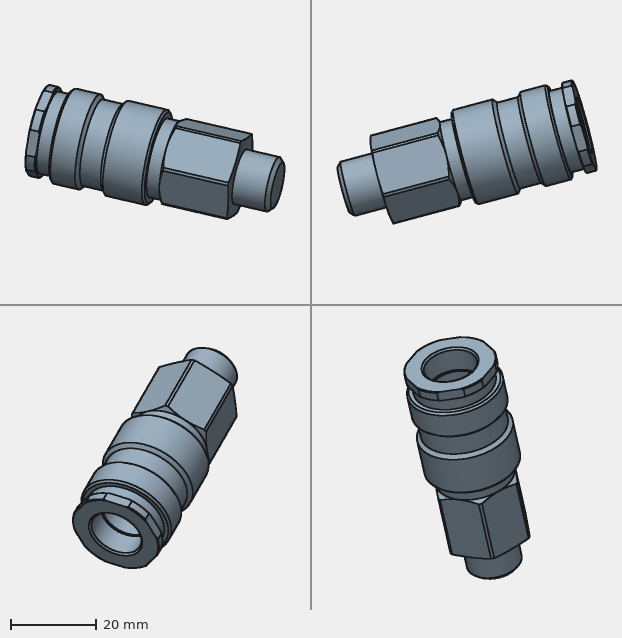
import cadquery as cq
import math

collar_end = 2.5
sleeve_start = 5.85
groove_start = 12.4
groove_end = 19.25
sleeve_end = 29.3
hex_start = 32.45
hex_end = 49.4
total_length = 58.5

front_neck_diameter = 19.8
sleeve_diameter = 22.95
groove_diameter = 20.9
rear_neck_diameter = 19.0
spigot_diameter = 13.15

sleeve_chamfer = 0.5
groove_wall_run = 0.9
spigot_chamfer = 1.05

collar_diameter = 21.95
collar_across_flats = 21.0
collar_chamfer = 0.205

hex_across_flats = 19.0
hex_corner_diameter = 21.5
hex_tilt = 24.0
hex_front_angle = 30.0
hex_rear_run = 0.25

bore_mouth_diameter = 13.65
bore_diameter = 12.7
shoulder_diameter = 12.35
inner_bore_diameter = 12.0
bore_step_depth = 6.2
bore_depth = 17.55
bore_mouth_chamfer = (bore_mouth_diameter - bore_diameter) / 2
bore_step_run = (bore_diameter - shoulder_diameter) / 2


def revolve_profile(stations):
    """Solid of revolution about X through (position, diameter) pairs."""
    outline = [(x, diameter / 2) for x, diameter in stations]
    first_x = stations[0][0]
    last_x = stations[-1][0]
    profile = cq.Workplane("XY").polyline([(first_x, 0), *outline, (last_x, 0)]).close()
    return profile.revolve(360, (0, 0, 0), (1, 0, 0))


def hexagonal_bar(across_flats, start, end, tilt):
    """Hexagonal bar along X; zero tilt leaves flats facing +Z and -Z."""
    across_corners = across_flats / math.cos(math.radians(30))
    bar = cq.Workplane("YZ").workplane(offset=start).polygon(6, across_corners).extrude(end - start)
    return bar.rotate((0, 0, 0), (1, 0, 0), tilt)


def make_collar():
    edge_diameter = collar_diameter - 2 * collar_chamfer
    blank = revolve_profile([
        (0, edge_diameter),
        (collar_chamfer, collar_diameter),
        (collar_end - collar_chamfer, collar_diameter),
        (collar_end, edge_diameter),
    ])
    return blank.intersect(hexagonal_bar(collar_across_flats, 0, collar_end, 0))


def make_turned_body():
    sleeve_edge_diameter = sleeve_diameter - 2 * sleeve_chamfer
    return revolve_profile([
        (collar_end, front_neck_diameter),
        (sleeve_start, front_neck_diameter),
        (sleeve_start, sleeve_edge_diameter),
        (sleeve_start + sleeve_chamfer, sleeve_diameter),
        (groove_start, sleeve_diameter),
        (groove_start + groove_wall_run, groove_diameter),
        (groove_end - groove_wall_run, groove_diameter),
        (groove_end, sleeve_diameter),
        (sleeve_end - sleeve_chamfer, sleeve_diameter),
        (sleeve_end, sleeve_edge_diameter),
        (sleeve_end, rear_neck_diameter),
        (hex_end, rear_neck_diameter),
        (hex_end, spigot_diameter),
        (total_length - spigot_chamfer, spigot_diameter),
        (total_length, spigot_diameter - 2 * spigot_chamfer),
    ])


def make_wrench_hexagon():
    corner_height = (hex_corner_diameter - hex_across_flats) / 2
    front_run = corner_height * math.tan(math.radians(hex_front_angle))
    blank = revolve_profile([
        (hex_start, hex_across_flats),
        (hex_start + front_run, hex_corner_diameter),
        (hex_end - hex_rear_run, hex_corner_diameter),
        (hex_end, hex_across_flats),
    ])
    return blank.intersect(hexagonal_bar(hex_across_flats, hex_start, hex_end, hex_tilt))


def make_bore():
    return revolve_profile([
        (0, bore_mouth_diameter),
        (bore_mouth_chamfer, bore_diameter),
        (bore_step_depth, bore_diameter),
        (bore_step_depth + bore_step_run, shoulder_diameter),
        (bore_step_depth + bore_step_run, inner_bore_diameter),
        (bore_depth, inner_bore_diameter),
    ])


result = make_turned_body().union(make_collar()).union(make_wrench_hexagon()).cut(make_bore())